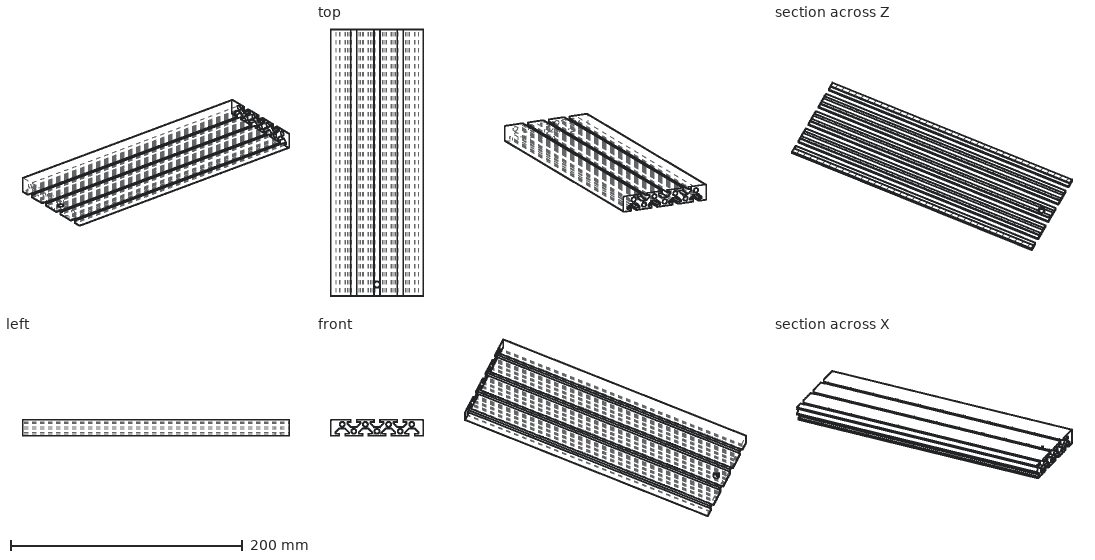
import cadquery as cq

WIDTH = 80.0
LENGTH = 230.0
HEIGHT = 14.0
EDGE_RADIUS = 1.0

SLOT_PITCH = 20.0
TOP_SLOT_COUNT = 3
BOTTOM_SLOT_COUNT = 4
SLOT_OPENING = 5.0
SLOT_MOUTH_RADIUS = 0.4
SLOT_CAVITY_WIDTH = 11.3
SLOT_FLOOR_WIDTH = 5.2
SLOT_LIP = 2.0
SLOT_DEPTH = 6.2

BORE_DIAMETER = 4.1
BORE_INSET = 4.0

CROSS_HOLE_DIAMETER = 5.2
CROSS_HOLE_END_DISTANCE = 10.0


def row_positions(count):
    """X positions of a centred row of features at the slot pitch."""
    return [(i - (count - 1) / 2) * SLOT_PITCH for i in range(count)]


def along_length(sketch):
    """Extrude an X-Z outline over the whole length."""
    return sketch.extrude(LENGTH / 2, both=True)


def plate_blank():
    outline = cq.Workplane("XZ").center(0, HEIGHT / 2).rect(WIDTH, HEIGHT)
    return along_length(outline).edges("|Y").fillet(EDGE_RADIUS)


def t_slot(x, face_z, inward):
    """T-slot with a rounded mouth at face_z; inward is the Z direction into the part."""
    half_opening = SLOT_OPENING / 2
    half_mouth = half_opening + SLOT_MOUTH_RADIUS
    half_cavity = SLOT_CAVITY_WIDTH / 2
    half_floor = SLOT_FLOOR_WIDTH / 2
    wall_end = SLOT_DEPTH - (half_cavity - half_floor)

    def at(u, depth):
        return (x + u, face_z + inward * depth)

    outline = (
        cq.Workplane("XZ")
        .moveTo(*at(-half_mouth, 0))
        .lineTo(*at(half_mouth, 0))
        .radiusArc(at(half_opening, SLOT_MOUTH_RADIUS), inward * SLOT_MOUTH_RADIUS)
        .lineTo(*at(half_opening, SLOT_LIP))
        .lineTo(*at(half_cavity, SLOT_LIP))
        .lineTo(*at(half_cavity, wall_end))
        .lineTo(*at(half_floor, SLOT_DEPTH))
        .lineTo(*at(-half_floor, SLOT_DEPTH))
        .lineTo(*at(-half_cavity, wall_end))
        .lineTo(*at(-half_cavity, SLOT_LIP))
        .lineTo(*at(-half_opening, SLOT_LIP))
        .lineTo(*at(-half_opening, SLOT_MOUTH_RADIUS))
        .radiusArc(at(-half_mouth, 0), inward * SLOT_MOUTH_RADIUS)
        .close()
    )
    return along_length(outline)


def bore_row(count, z):
    centres = [(x, z) for x in row_positions(count)]
    return along_length(cq.Workplane("XZ").pushPoints(centres).circle(BORE_DIAMETER / 2))


def cross_hole():
    y = CROSS_HOLE_END_DISTANCE - LENGTH / 2
    return cq.Workplane("XY").center(0, y).circle(CROSS_HOLE_DIAMETER / 2).extrude(HEIGHT)


result = plate_blank()

for slot_x in row_positions(TOP_SLOT_COUNT):
    result = result.cut(t_slot(slot_x, HEIGHT, -1))
for slot_x in row_positions(BOTTOM_SLOT_COUNT):
    result = result.cut(t_slot(slot_x, 0, 1))

result = result.cut(bore_row(BOTTOM_SLOT_COUNT, HEIGHT - BORE_INSET))
result = result.cut(bore_row(TOP_SLOT_COUNT, BORE_INSET))

result = result.cut(cross_hole())